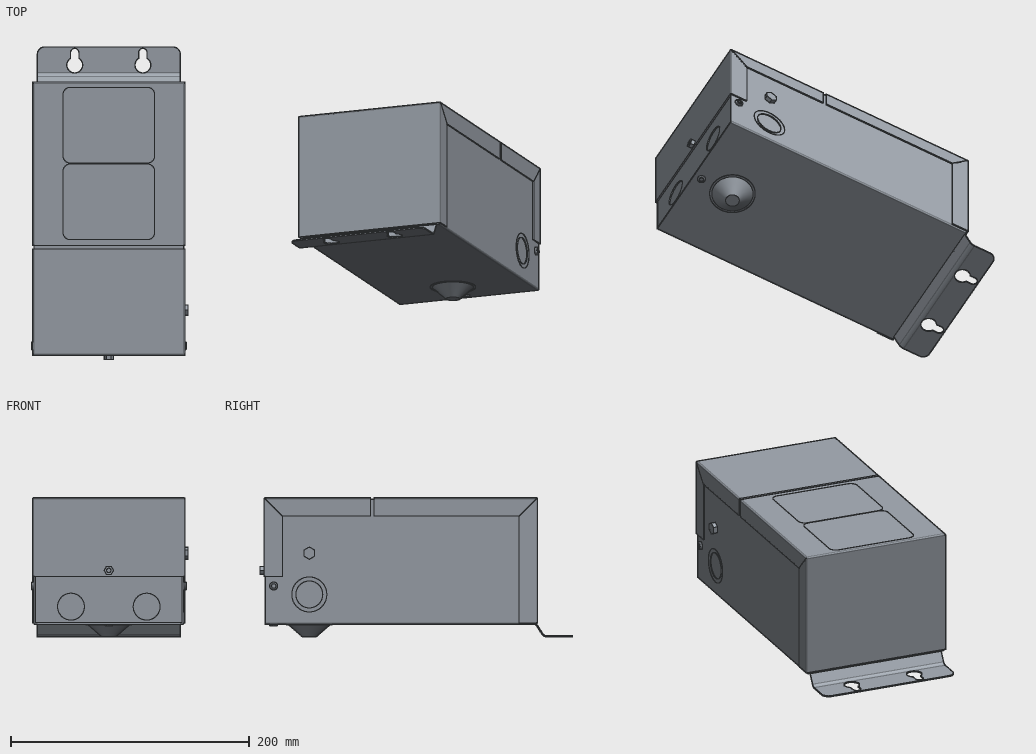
import cadquery as cq
import math


OVERALL_HEIGHT = 116.7
FLANGE_DROP = 10.5
LABEL_THICKNESS = 0.13
BOX_HEIGHT = OVERALL_HEIGHT - FLANGE_DROP - LABEL_THICKNESS

COVER_WIDTH = 127.7
COVER_LENGTH = 229.0
SHEET = 1.0
BEND_RADIUS = 1.18
CORNER_RADIUS = 0.5
FLAP = 15.5
COVER_FRONT_BOTTOM = 40.3
COVER_REAR_BOTTOM = 1.3
SEAM_WIDTH = 0.3
GAP_FRONT = 89.2
GAP_WIDTH = 3.0

BASE_WIDTH = COVER_WIDTH - 2 * SHEET
BASE_FRONT = SHEET
BASE_REAR = COVER_LENGTH - SHEET
BASE_HEIGHT = BOX_HEIGHT - BEND_RADIUS
SIDE_WALL = 1.5
PANEL_RECESS = 0.3

LABEL_WIDTH = 76.7
LABEL_LENGTH = 63.3
LABEL_RADIUS = 6.0
LABEL_GAP = 0.8
LABELS_CENTRE_Y = 160.6

FLANGE_WIDTH = 119.8
FLANGE_TIP = 258.2
FLANGE_CORNER = 6.3
FLANGE_ROOT = 228.5
FLANGE_ANGLE = math.radians(57)
FLANGE_BEND = 5.0
KEYHOLE_X = 28.5
KEYHOLE_Y = 243.0
KEYHOLE_RADIUS = 6.5
KEYHOLE_SLOT_Y = 253.5
KEYHOLE_SLOT_RADIUS = 3.5

KNOCKOUT_RADIUS = 11.2
KNOCKOUT_DEPTH = 1.0
FRONT_KNOCKOUT_X = 31.7
FRONT_KNOCKOUT_Z = 15.0
SIDE_KNOCKOUT_Y = 38.0
SIDE_KNOCKOUT_Z = 25.0
SIDE_RING_RADIUS = 14.7
SIDE_RING_DEPTH = 0.3
BUSHING_RIM_RADIUS = 19.0
BUSHING_RIM = 0.5
BUSHING_TOP_RADIUS = 17.3
BUSHING_TIP_RADIUS = 5.8

SCREW_RADIUS = 3.5
SCREW_HEIGHT = 2.0
SCREW_ROUNDING = 1.0
SCREW_SOCKET = 3.7
SOCKET_DEPTH = 0.8
SCREW_Y = 8.0
SIDE_SCREW_Z = 32.2
BOTTOM_SCREW_SEAT = 0.8
BOLT_FLATS = 6.8
BOLT_HEIGHT = 3.5
BOLT_SOCKET = 3.7
BOLT_Z = 45.3
NUT_FLATS = 9.0
NUT_HEIGHT = 3.7
NUT_Z = 59.6

EMBED = 0.8


def block(x_size, y_min, y_max, z_min, z_max):
    """Box centred on X = 0."""
    corner = cq.Workplane("XY", origin=(0, y_min, z_min))
    return corner.box(x_size, y_max - y_min, z_max - z_min, centered=(True, False, False))


def plane(origin, normal, x_dir):
    return cq.Workplane(cq.Plane(origin=origin, normal=normal, xDir=x_dir))


def hexagon(workplane, flats):
    """Hexagon with two corners on the local x axis."""
    return workplane.polygon(6, flats / math.cos(math.pi / 6))


def make_cover():
    cover = block(COVER_WIDTH, 0, COVER_LENGTH, COVER_REAR_BOTTOM, BOX_HEIGHT)
    cover = cover.edges("|Z").fillet(CORNER_RADIUS).edges(">Z").fillet(BEND_RADIUS)
    flap_bottom = BOX_HEIGHT - FLAP
    cover = cover.cut(block(COVER_WIDTH, FLAP, COVER_LENGTH - FLAP, 0, flap_bottom))
    cover = cover.cut(block(COVER_WIDTH, 0, FLAP, 0, COVER_FRONT_BOTTOM))
    cover = cover.cut(block(COVER_WIDTH, GAP_FRONT, GAP_FRONT + GAP_WIDTH, 0, BOX_HEIGHT))
    seam_reach = (FLAP + BEND_RADIUS) / 2
    seam_length = (FLAP - BEND_RADIUS) * math.sqrt(2)
    for seam_y, tilt in ((seam_reach, -45), (COVER_LENGTH - seam_reach, 45)):
        seam = cq.Workplane("XY").box(COVER_WIDTH, seam_length, SEAM_WIDTH)
        seam = seam.rotate((0, 0, 0), (1, 0, 0), tilt)
        cover = cover.cut(seam.translate((0, seam_y, BOX_HEIGHT - seam_reach)))
    return cover


def make_base():
    base = block(BASE_WIDTH, BASE_FRONT, BASE_REAR, 0, BASE_HEIGHT)
    base = base.edges("|Y and <Z").fillet(BEND_RADIUS)
    panel_width = BASE_WIDTH - 2 * SIDE_WALL
    return base.cut(block(panel_width, BASE_FRONT, BASE_FRONT + PANEL_RECESS, SIDE_WALL, COVER_FRONT_BOTTOM))


def make_labels():
    pitch = LABEL_LENGTH + LABEL_GAP
    labels = cq.Workplane("XY", origin=(0, LABELS_CENTRE_Y, BOX_HEIGHT - EMBED)).rarray(2.5, pitch, 1, 2)
    labels = labels.rect(LABEL_WIDTH, LABEL_LENGTH).extrude(EMBED + LABEL_THICKNESS)
    return labels.edges("|Z").fillet(LABEL_RADIUS)


def make_flange():
    """Sheet that slopes down from the base, then runs level to the tip."""
    run = (FLANGE_DROP - SHEET) / math.tan(FLANGE_ANGLE)
    half_turn = math.tan(FLANGE_ANGLE / 2)
    top_bend_y = FLANGE_ROOT + run
    bottom_bend_y = top_bend_y - SHEET * half_turn
    root_bottom_y = bottom_bend_y - FLANGE_DROP / math.tan(FLANGE_ANGLE)
    flange = (
        cq.Workplane("YZ")
        .moveTo(root_bottom_y, 0)
        .lineTo(bottom_bend_y, -FLANGE_DROP)
        .lineTo(FLANGE_TIP, -FLANGE_DROP)
        .lineTo(FLANGE_TIP, SHEET - FLANGE_DROP)
        .lineTo(top_bend_y, SHEET - FLANGE_DROP)
        .lineTo(FLANGE_ROOT, 0)
        .lineTo(FLANGE_ROOT, EMBED)
        .lineTo(root_bottom_y, EMBED)
        .close()
        .extrude(FLANGE_WIDTH / 2, both=True)
    )
    bottom_edge = cq.selectors.NearestToPointSelector((0, bottom_bend_y, -FLANGE_DROP))
    flange = flange.edges(bottom_edge).fillet(FLANGE_BEND)
    top_edge = cq.selectors.NearestToPointSelector((0, top_bend_y, SHEET - FLANGE_DROP))
    flange = flange.edges(top_edge).fillet(FLANGE_BEND - SHEET)
    flange = flange.edges("|Z and >Y").fillet(FLANGE_CORNER)
    keyhole_plane = cq.Workplane("XY", origin=(0, 0, -FLANGE_DROP))
    slot_length = KEYHOLE_SLOT_Y - KEYHOLE_Y
    for x in (-KEYHOLE_X, KEYHOLE_X):
        flange = flange.cut(keyhole_plane.center(x, KEYHOLE_Y).circle(KEYHOLE_RADIUS).extrude(FLANGE_DROP))
        slot = keyhole_plane.center(x, KEYHOLE_Y + slot_length / 2)
        slot = slot.slot2D(slot_length + 2 * KEYHOLE_SLOT_RADIUS, 2 * KEYHOLE_SLOT_RADIUS, 90)
        flange = flange.cut(slot.extrude(FLANGE_DROP))
    return flange


def make_bushing():
    """Conical bushing under the box, level with the foot of the flange."""
    return (
        cq.Workplane("XZ", origin=(0, SIDE_KNOCKOUT_Y, 0))
        .moveTo(0, EMBED)
        .lineTo(BUSHING_RIM_RADIUS, EMBED)
        .lineTo(BUSHING_RIM_RADIUS, -BUSHING_RIM)
        .lineTo(BUSHING_TOP_RADIUS, -BUSHING_RIM)
        .lineTo(BUSHING_TIP_RADIUS, -FLANGE_DROP)
        .lineTo(0, -FLANGE_DROP)
        .close()
        .revolve(360, (0, 0), (0, 1))
    )


def cut_knockouts(body):
    panel_y = BASE_FRONT + PANEL_RECESS
    front = plane((0, panel_y, FRONT_KNOCKOUT_Z), (0, 1, 0), (1, 0, 0))
    front = front.pushPoints([(-FRONT_KNOCKOUT_X, 0), (FRONT_KNOCKOUT_X, 0)])
    body = body.cut(front.circle(KNOCKOUT_RADIUS).extrude(KNOCKOUT_DEPTH))
    for side in (-1, 1):
        wall = plane((side * BASE_WIDTH / 2, SIDE_KNOCKOUT_Y, SIDE_KNOCKOUT_Z), (-side, 0, 0), (0, 1, 0))
        body = body.cut(wall.circle(SIDE_RING_RADIUS).extrude(SIDE_RING_DEPTH))
        body = body.cut(wall.circle(KNOCKOUT_RADIUS).extrude(KNOCKOUT_DEPTH))
    return body


def make_screw(origin, normal, x_dir):
    """Round-head screw with a hexagon socket, seated on a base wall."""
    seat = plane(origin, normal, x_dir)
    head = seat.circle(SCREW_RADIUS).extrude(SCREW_HEIGHT)
    head = head.faces(cq.selectors.DirectionMinMaxSelector(cq.Vector(*normal))).edges().fillet(SCREW_ROUNDING)
    socket = hexagon(seat.workplane(offset=SCREW_HEIGHT - SOCKET_DEPTH), SCREW_SOCKET)
    return head.cut(socket.extrude(SOCKET_DEPTH)).union(seat.circle(SCREW_RADIUS).extrude(-EMBED))


def make_bolt():
    """Hexagon-head bolt on the front of the cover."""
    face = plane((0, 0, BOLT_Z), (0, -1, 0), (1, 0, 0))
    head = hexagon(face.workplane(offset=-EMBED), BOLT_FLATS).extrude(BOLT_HEIGHT + EMBED)
    socket = face.workplane(offset=BOLT_HEIGHT - SOCKET_DEPTH)
    return head.cut(socket.circle(BOLT_SOCKET / 2).extrude(SOCKET_DEPTH))


def make_nut():
    """Hexagon nut on the right-hand wall, corners up and down."""
    wall = plane((BASE_WIDTH / 2 - EMBED, SIDE_KNOCKOUT_Y, NUT_Z), (1, 0, 0), (0, 0, 1))
    return hexagon(wall, NUT_FLATS).extrude(NUT_HEIGHT + EMBED)


box = cut_knockouts(make_base().union(make_cover()))
attached = [
    make_labels(),
    make_flange(),
    make_bushing(),
    make_bolt(),
    make_nut(),
    make_screw((-BASE_WIDTH / 2, SCREW_Y, SIDE_SCREW_Z), (-1, 0, 0), (0, 1, 0)),
    make_screw((BASE_WIDTH / 2, SCREW_Y, SIDE_SCREW_Z), (1, 0, 0), (0, 1, 0)),
    make_screw((0, SCREW_Y, BOTTOM_SCREW_SEAT), (0, 0, -1), (0, 1, 0)),
]
for piece in attached:
    box = box.union(piece)

result = box